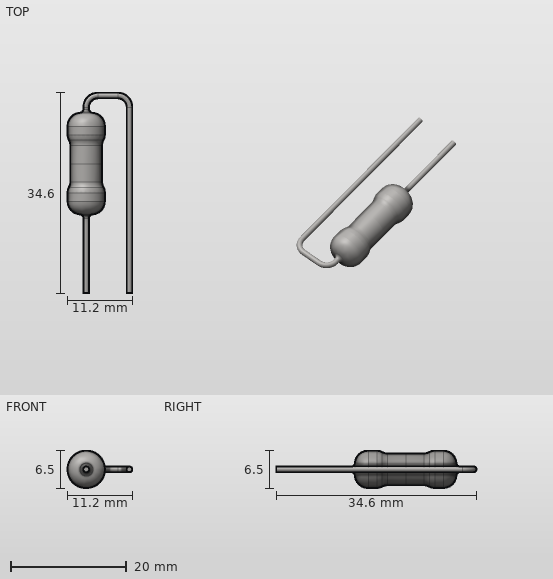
import cadquery as cq

total_length = 34.6
lead_diameter = 1.0
lead_radius = lead_diameter / 2
bend_top = 12.25
lead_spacing = 7.47
bend_radius = 2.0

cap_radius = 6.5 / 2
waist_radius = 5.55 / 2
body_half_length = 8.8
cap_outer_edge = 6.47
cap_inner_edge = 5.0
waist_half_length = 3.15
flare_radius = 0.62

lead_end = bend_top - total_length
cross_lead_y = bend_top - lead_radius
flare_base_radius = lead_radius + flare_radius
flare_end = body_half_length + flare_radius
neck_middle_radius = (cap_radius + waist_radius) / 2
neck_middle_y = (cap_inner_edge + waist_half_length) / 2


def make_half_body():
    """Revolve the +Y half: waist, S-shaped neck, rounded cap and flare."""
    profile = (
        cq.Workplane("XY")
        .lineTo(waist_radius, 0)
        .lineTo(waist_radius, waist_half_length)
        .tangentArcPoint((neck_middle_radius, neck_middle_y), relative=False)
        .tangentArcPoint((cap_radius, cap_inner_edge), relative=False)
        .lineTo(cap_radius, cap_outer_edge)
        .tangentArcPoint((flare_base_radius, body_half_length), relative=False)
        .radiusArc((lead_radius, flare_end), flare_radius)
        .lineTo(0, flare_end)
        .close()
    )
    return profile.revolve(360, (0, 0, 0), (0, 1, 0))


def make_bent_lead():
    """Sweep the lead that leaves the +Y end and returns beside the body."""
    bend_start_y = cross_lead_y - bend_radius
    path = (
        cq.Workplane("XY")
        .moveTo(0, body_half_length)
        .lineTo(0, bend_start_y)
        .tangentArcPoint((bend_radius, cross_lead_y), relative=False)
        .lineTo(lead_spacing - bend_radius, cross_lead_y)
        .tangentArcPoint((lead_spacing, bend_start_y), relative=False)
        .lineTo(lead_spacing, lead_end)
    )
    section = cq.Workplane("XZ", origin=(0, body_half_length, 0)).circle(lead_radius)
    return section.sweep(path)


def make_straight_lead():
    """Lead that runs straight out of the -Y end."""
    lead_length = -body_half_length - lead_end
    return (
        cq.Workplane("XZ", origin=(0, -body_half_length, 0))
        .circle(lead_radius)
        .extrude(lead_length)
    )


half_body = make_half_body()
body = half_body.union(half_body.mirror("XZ"))
result = body.union(make_bent_lead()).union(make_straight_lead())